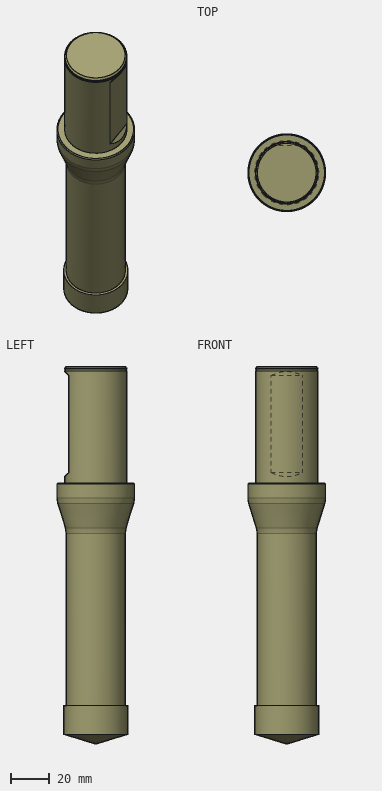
import cadquery as cq

total_height = 194.0
point_height = 5.0
head_top = 19.8
taper_bottom = 109.6
taper_top = 125.0
collar_top = 134.0

head_diameter = 33.0
body_diameter = 30.5
collar_diameter = 40.0
shank_diameter = 32.0

taper_fillet = 10.0
collar_chamfer = 0.5
shank_chamfer = 1.0

groove_depth = 0.3
groove_bottom = 191.5
groove_width = 1.2

flat_depth = 2.1
flat_bottom = 139.5
flat_top = 189.2


def revolve_profile(points):
    """Revolve a closed (radius, height) outline around the Z axis."""
    return cq.Workplane("XZ").polyline(points).close().revolve(360, (0, 0, 0), (0, 1, 0))


def circle_at(height):
    """Selector for the circular edge of the holder centred at the given height."""
    reach = collar_diameter
    tolerance = 0.2
    return cq.selectors.BoxSelector(
        (-reach, -reach, height - tolerance),
        (reach, reach, height + tolerance),
    )


def make_shank_groove():
    """Ring that cuts the shallow groove below the chamfered end of the shank."""
    return (
        cq.Workplane("XY", origin=(0, 0, groove_bottom))
        .circle(collar_diameter / 2)
        .circle(shank_diameter / 2 - groove_depth)
        .extrude(groove_width)
    )


def make_clamping_flat():
    """Cutter whose sloping ends leave ramps beside the flat."""
    shank_radius = shank_diameter / 2
    flat_y = shank_radius - flat_depth
    return (
        cq.Workplane("YZ")
        .polyline([
            (flat_y, flat_bottom),
            (shank_radius, flat_bottom - flat_depth),
            (shank_radius, flat_top + flat_depth),
            (flat_y, flat_top),
        ])
        .close()
        .extrude(shank_radius, both=True)
    )


def make_holder():
    """Cylindrical body, blended taper, collar and shank with its clamping flat."""
    body_radius = body_diameter / 2
    collar_radius = collar_diameter / 2
    shank_radius = shank_diameter / 2
    holder = revolve_profile([
        (0, head_top),
        (body_radius, head_top),
        (body_radius, taper_bottom),
        (collar_radius, taper_top),
        (collar_radius, collar_top - collar_chamfer),
        (collar_radius - collar_chamfer, collar_top),
        (shank_radius, collar_top),
        (shank_radius, total_height - shank_chamfer),
        (shank_radius - shank_chamfer, total_height),
        (0, total_height),
    ])
    for height in (taper_bottom, taper_top):
        holder = holder.edges(circle_at(height)).fillet(taper_fillet)
    return holder.cut(make_shank_groove()).cut(make_clamping_flat())


def make_cutting_head():
    """Cylindrical head with a shallow conical point, seated under the holder."""
    head_radius = head_diameter / 2
    return revolve_profile([
        (0, 0),
        (head_radius, point_height),
        (head_radius, head_top),
        (0, head_top),
    ])


holder = make_holder()
cutting_head = make_cutting_head()

result = cq.Compound.makeCompound([holder.val(), cutting_head.val()])